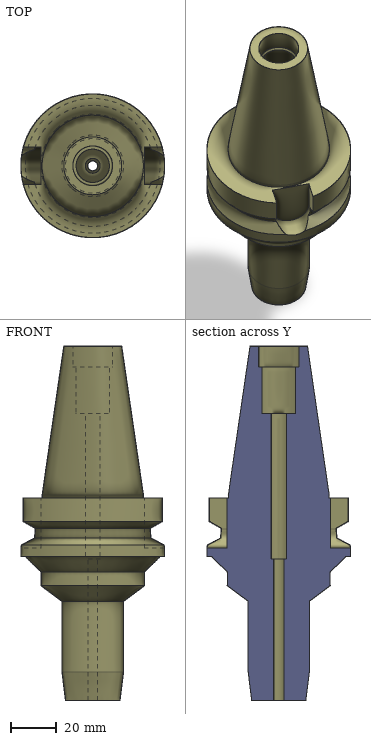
import cadquery as cq

total_length = 155.1
nose_taper_top = 12.5
shank_top = 43.5
collar_bottom = 50.3
collar_top = 56.3
flange_bottom = 63.0
groove_lower_edge = 68.1
groove_floor_bottom = 71.0
groove_floor_top = 75.4
groove_upper_edge = 78.3
flange_top = 88.7
gauge_line = 90.0

nose_radius = 12.0
shank_radius = 13.5
collar_radius = 22.6
under_flange_radius = 29.5
flange_radius = 31.5
groove_radius = 26.5
gauge_radius = 22.2
taper_ratio = 7 / 24
small_end_radius = gauge_radius - (total_length - gauge_line) * taper_ratio / 2

slot_width = 16.3
slot_depth = 21.9
slot_floor_distance = 22.6

bore_steps = [(8.7, 9.2), (7.3, 29.5), (3.3, 93.0), (2.2, total_length)]


def make_body():
    """Revolve the complete outer profile about Z."""
    profile = [
        (0, 0),
        (nose_radius, 0),
        (shank_radius, nose_taper_top),
        (shank_radius, shank_top),
        (collar_radius, collar_bottom),
        (collar_radius, collar_top),
        (under_flange_radius, flange_bottom),
        (flange_radius, flange_bottom),
        (flange_radius, groove_lower_edge),
        (groove_radius, groove_floor_bottom),
        (groove_radius, groove_floor_top),
        (flange_radius, groove_upper_edge),
        (flange_radius, flange_top),
        (gauge_radius, flange_top),
        (gauge_radius, gauge_line),
        (small_end_radius, total_length),
        (0, total_length),
    ]
    return cq.Workplane("XZ").polyline(profile).close().revolve(360, (0, 0, 0), (0, 1, 0))


def make_drive_slot():
    """Round-bottomed slot cutter on the +X side, open at the flange top."""
    half_width = slot_width / 2
    slot_bottom = flange_top - slot_depth
    arc_center = slot_bottom + half_width
    return (
        cq.Workplane("YZ", origin=(slot_floor_distance, 0, 0))
        .moveTo(-half_width, flange_top)
        .lineTo(-half_width, arc_center)
        .threePointArc((0, slot_bottom), (half_width, arc_center))
        .lineTo(half_width, flange_top)
        .close()
        .extrude(flange_radius)
    )


def make_bore_step(radius, depth):
    """Cylindrical cutter reaching down from the small end."""
    return cq.Workplane("XY", origin=(0, 0, total_length)).circle(radius).extrude(-depth)


result = make_body()

for angle in (0, 180):
    result = result.cut(make_drive_slot().rotate((0, 0, 0), (0, 0, 1), angle))

for step_radius, step_depth in bore_steps:
    result = result.cut(make_bore_step(step_radius, step_depth))